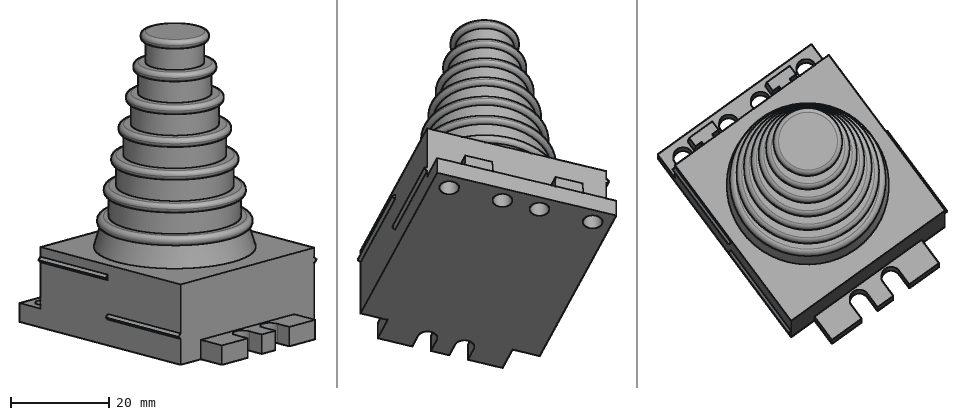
import cadquery as cq

block_length = 40.0
block_width = 38.75
block_height = 17.0
block_offset = 0.75
block_left = block_offset - block_length / 2
block_right = block_offset + block_length / 2

flange_length = 6.0
flange_height = 4.0
tab_width = 27.0
tab_height = 4.1
hole_diameter = 4.0
hole_setback = 2.5
inner_hole_y = 4.0
outer_hole_y = 15.5

peg_y = (inner_hole_y + outer_hole_y) / 2
peg_height = 4.1
peg_draft = 3.0
peg_head_length = 2.4
peg_head_width = 6.25
peg_reach = 4.5
peg_stem_width = 3.1
peg_overlap = 1.25

rib_depth = 0.6
rib_base = 1.2
upper_rib_z = 14.4
lower_rib_z = 6.05

total_height = 62.5
stage_count = 7
stage_height = (total_height - block_height) / stage_count
top_radius = 6.0
radius_step = 1.5
bead_radius = 1.0
skirt_radius = 16.5
skirt_top_radius = 14.55


def box_on_floor(x_min, x_max, width, height):
    """Box resting on Z = 0 and centred on Y = 0."""
    return cq.Workplane("XY").box(
        x_max - x_min, width, height, centered=(False, True, False)
    ).translate((x_min, 0, 0))


def make_flange():
    flange = box_on_floor(block_left - flange_length, block_left, block_width, flange_height)
    hole_x = block_left - hole_setback
    hole_points = [(hole_x, side * y) for side in (-1, 1) for y in (inner_hole_y, outer_hole_y)]
    holes = cq.Workplane("XY").pushPoints(hole_points).circle(hole_diameter / 2).extrude(flange_height)
    return flange.cut(holes)


def make_tab():
    tab_end = block_right + flange_length
    tab = box_on_floor(block_right, tab_end, tab_width, tab_height)
    slot_x = block_right + hole_setback
    for y in (-inner_hole_y, inner_hole_y):
        round_end = cq.Workplane("XY").center(slot_x, y).circle(hole_diameter / 2).extrude(tab_height)
        opening = box_on_floor(slot_x, tab_end, hole_diameter, tab_height).translate((0, y, 0))
        tab = tab.cut(round_end).cut(opening)
    return tab


def make_drafted_bar(width):
    """Bar with drafted sides and front, running from the peg front into the block."""
    front = block_left - peg_reach
    length = peg_reach + peg_overlap
    bar = cq.Workplane("XY").center(front + length / 2, 0).rect(length, width)
    return bar.extrude(peg_height, taper=peg_draft)


def make_peg(y):
    """T-shaped peg: a wide drafted head with a vertical back, joined to the block by a stem."""
    head_front = block_left - peg_reach
    head_limit = box_on_floor(head_front, head_front + peg_head_length, peg_head_width, peg_height)
    head = make_drafted_bar(peg_head_width).intersect(head_limit)
    stem = make_drafted_bar(peg_stem_width)
    return head.union(stem).translate((0, y, flange_height))


def make_rib(side, x_min, x_max, z):
    """Triangular rib on the block face at +Y (side = 1) or -Y (side = -1)."""
    face_y = side * block_width / 2
    section = [
        (face_y, z - rib_base / 2),
        (face_y + side * rib_depth, z),
        (face_y, z + rib_base / 2),
    ]
    return cq.Workplane("YZ").workplane(offset=x_min).polyline(section).close().extrude(x_max - x_min)


def make_bead(radius, top_z):
    """Round bead whose top is level with the top of its stage."""
    return cq.Workplane("XY").add(cq.Solid.makeTorus(radius, bead_radius)).translate((0, 0, top_z - bead_radius))


def make_skirt():
    """Lowest stage: a cone with a bead bulging from its upper end."""
    top_z = block_height + stage_height
    slope = (skirt_radius - skirt_top_radius) / stage_height
    middle_radius = skirt_top_radius + slope * bead_radius
    bottom_radius = skirt_top_radius + slope * 2 * bead_radius
    profile = (
        cq.Workplane("XZ")
        .moveTo(0, block_height)
        .lineTo(skirt_radius, block_height)
        .lineTo(bottom_radius, top_z - 2 * bead_radius)
        .threePointArc((middle_radius + bead_radius, top_z - bead_radius), (skirt_top_radius, top_z))
        .lineTo(0, top_z)
        .close()
    )
    return profile.revolve(360, (0, 0, 0), (0, 1, 0))


def make_tower():
    """Beaded cylinders stepping down in size towards the top, standing on the skirt."""
    tower = make_skirt()
    for steps_down in range(stage_count - 1):
        radius = top_radius + steps_down * radius_step
        stage_top = total_height - steps_down * stage_height
        drum = cq.Workplane("XY").workplane(offset=stage_top - stage_height).circle(radius).extrude(stage_height)
        tower = tower.union(drum).union(make_bead(radius, stage_top))
    return tower


result = box_on_floor(block_left, block_right, block_width, block_height)
result = result.union(make_flange()).union(make_tab())
for y in (-peg_y, peg_y):
    result = result.union(make_peg(y))

for side, left_z, right_z in ((-1, upper_rib_z, lower_rib_z), (1, lower_rib_z, upper_rib_z)):
    result = result.union(make_rib(side, block_left, 0, left_z))
    result = result.union(make_rib(side, 0, block_right, right_z))

result = result.union(make_tower())